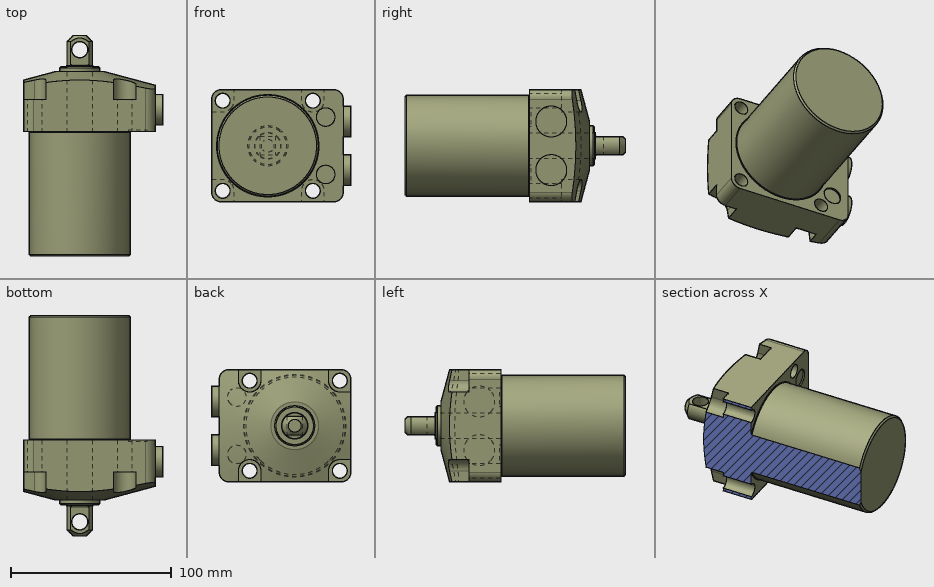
import cadquery as cq
import math


TOTAL_WIDTH = 86.8
TOTAL_LENGTH = 137.5

HEAD_WIDTH = 70.0
HEAD_LEFT = -HEAD_WIDTH / 2
HEAD_RIGHT = 47.0
HEAD_LENGTH = HEAD_RIGHT - HEAD_LEFT
HEAD_CORNER_RADIUS = 6.0
HEAD_TOP = 37.5
CONE_TOP_RADIUS = 14.8
CONE_ANGLE = 15
CONE_BASE_RADIUS = 68.8

COLLAR_RADIUS = 12.5
COLLAR_TOP = 40.4
COLLAR_CHAMFER = 0.8
LIP_RADIUS = 8.2
LIP_TOP = 41.2

ROD_TIP = 60.0
BARREL_LENGTH = TOTAL_LENGTH - ROD_TIP
BARREL_RADIUS = 31.5
BARREL_CHAMFER = 1.1
ROOT_BEVEL = 0.4

HOLE_OFFSET = 28.0
HOLE_RADIUS = 4.5
POCKET_RADIUS = 7.0
POCKET_FLOOR = 20.0

RECESS_X = 36.0
RECESS_Z = 17.9
RECESS_RADIUS = 5.8
RECESS_DEPTH = 1.1

PLUG_RADIUS = 9.6
PLUG_LENGTH = TOTAL_WIDTH - HEAD_LENGTH
PLUG_Y = 13.6
PLUG_Z = 15.1

ROD_RADIUS = 8.0
ROD_BOTTOM = 0.0
ROD_CHAMFER = 4.0
FLAT_THICKNESS = 11.3
FLAT_START = LIP_TOP
FLAT_FILLET = 0.7
EYE_RADIUS = 5.0
EYE_Y = 51.0


def disc(radius, start_y, end_y, x=0.0, z=0.0):
    """Cylinder along Y between two heights."""
    return cq.Workplane(cq.Solid.makeCylinder(
        radius, end_y - start_y, cq.Vector(x, start_y, z), cq.Vector(0, 1, 0)))


def block(x_range, y_range, z_range):
    """Box between the given limits."""
    lows, highs = zip(x_range, y_range, z_range)
    sizes = [high - low for low, high in zip(lows, highs)]
    return cq.Workplane("XY").box(*sizes, centered=False).translate(lows)


def make_head():
    """Rounded block whose top is cut to a cone round the rod axis."""
    half_width = HEAD_WIDTH / 2
    head = block((HEAD_LEFT, HEAD_RIGHT), (0, HEAD_TOP), (-half_width, half_width))
    head = head.edges("|Y").fillet(HEAD_CORNER_RADIUS)
    cone_drop = (CONE_BASE_RADIUS - CONE_TOP_RADIUS) * math.tan(math.radians(CONE_ANGLE))
    cone = (
        cq.Workplane("XY")
        .polyline([
            (0, 0),
            (CONE_BASE_RADIUS, 0),
            (CONE_BASE_RADIUS, HEAD_TOP - cone_drop),
            (CONE_TOP_RADIUS, HEAD_TOP),
            (0, HEAD_TOP),
        ])
        .close()
        .revolve(360, (0, 0, 0), (0, 1, 0))
    )
    return head.intersect(cone)


def make_pocket(x_sign, z_sign):
    """Screw head pocket, open to the nearest Z side, and on the left to the -X side as well."""
    heights = (POCKET_FLOOR, HEAD_TOP)
    x = x_sign * HOLE_OFFSET
    z = z_sign * HOLE_OFFSET
    z_side = z_sign * HEAD_WIDTH / 2
    pocket = disc(POCKET_RADIUS, *heights, x, z)
    z_range = sorted((z, z_side))
    pocket = pocket.union(block((x - POCKET_RADIUS, x + POCKET_RADIUS), heights, z_range))
    if x_sign < 0:
        z_range = sorted((z - z_sign * POCKET_RADIUS, z_side))
        pocket = pocket.union(block((HEAD_LEFT, x), heights, z_range))
    return pocket


def make_housing():
    """Head, collar with a thin wiper lip, and barrel in one piece, with the blind bore for the rod."""
    collar = disc(COLLAR_RADIUS, HEAD_TOP, COLLAR_TOP).faces(">Y").chamfer(COLLAR_CHAMFER)
    lip = disc(LIP_RADIUS, COLLAR_TOP, LIP_TOP)
    barrel = disc(BARREL_RADIUS, -BARREL_LENGTH, 0).faces("<Y").chamfer(BARREL_CHAMFER)
    root = cq.Workplane(cq.Solid.makeCone(
        BARREL_RADIUS + ROOT_BEVEL, BARREL_RADIUS, ROOT_BEVEL, cq.Vector(0, 0, 0), cq.Vector(0, -1, 0)))
    housing = make_head().union(collar).union(lip).union(root).union(barrel)
    for z_sign in (-1, 1):
        for x_sign in (-1, 1):
            hole = disc(HOLE_RADIUS, 0, HEAD_TOP, x_sign * HOLE_OFFSET, z_sign * HOLE_OFFSET)
            housing = housing.cut(hole).cut(make_pocket(x_sign, z_sign))
        housing = housing.cut(disc(RECESS_RADIUS, 0, RECESS_DEPTH, RECESS_X, z_sign * RECESS_Z))
    return housing.cut(disc(ROD_RADIUS, ROD_BOTTOM, LIP_TOP))


def make_rod():
    """Rod with a chamfered tip, two flats with filleted ends and a cross eye."""
    rod = disc(ROD_RADIUS, ROD_BOTTOM, ROD_TIP).faces(">Y").chamfer(ROD_CHAMFER)
    half_thickness = FLAT_THICKNESS / 2
    reach = 2 * ROD_RADIUS
    for z_range in ((-reach, -half_thickness), (half_thickness, reach)):
        cutter = block((-reach, reach), (FLAT_START, ROD_TIP), z_range)
        rod = rod.cut(cutter.edges("<Y and |X").fillet(FLAT_FILLET))
    eye = cq.Workplane("XY").center(0, EYE_Y).circle(EYE_RADIUS).extrude(ROD_RADIUS, both=True)
    return rod.cut(eye)


def make_plug(z):
    """Round port plug standing on the +X face of the head."""
    return (
        cq.Workplane("YZ", origin=(HEAD_RIGHT, PLUG_Y, z))
        .circle(PLUG_RADIUS)
        .extrude(PLUG_LENGTH)
    )


housing = make_housing()
rod = make_rod()
plugs = [make_plug(z) for z in (-PLUG_Z, PLUG_Z)]

result = cq.Compound.makeCompound([housing.val(), rod.val(), *[plug.val() for plug in plugs]])